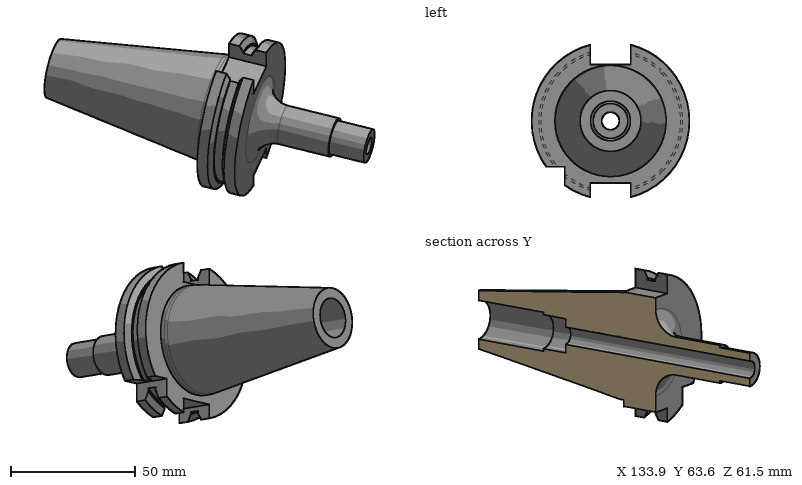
import cadquery as cq
import math


gauge_radius = 22.225
taper_length = 68.4
taper_slope = 7 / 48
small_end_radius = gauge_radius - taper_length * taper_slope

collar_start = 1.5
collar_radius = 22.4

flange_radius = 63.55 / 2
flange_start = 3.2
flange_end = 19.1
flange_width = flange_end - flange_start

groove_centre = 11.1
groove_mouth_half = 7.0 / 2
groove_floor_half = 3.75 / 2
groove_floor_radius = 56.25 / 2
groove_flank_angle = math.radians(30)
flank_depth = (groove_mouth_half - groove_floor_half) / math.tan(groove_flank_angle)
flank_foot_radius = flange_radius - flank_depth

root_fillet = 10.0
arbor_radius = 8.0
tip_radius = 7.0
tip_length = 14.7
arbor_end = 65.5
tip_start = arbor_end - tip_length

draw_bolt_radius = 8.0
draw_bolt_depth = 32.0
core_radius = 7.0
core_depth = 43.0
coolant_radius = 3.5

slot_width = 16.1
upper_slot_floor = 22.8
lower_slot_floor = 25.0
notch_wall = 18.5


def turned_body():
    """Revolve the half section of the outside around the X axis."""
    fillet_centre_x = flange_end + root_fillet
    fillet_centre_r = arbor_radius + root_fillet
    fillet_mid = (
        fillet_centre_x - root_fillet * math.cos(math.pi / 4),
        fillet_centre_r - root_fillet * math.sin(math.pi / 4),
    )
    section = (
        cq.Workplane("XY")
        .moveTo(-taper_length, 0)
        .lineTo(-taper_length, small_end_radius)
        .lineTo(0, gauge_radius)
        .lineTo(collar_start, collar_radius)
        .lineTo(flange_start, collar_radius)
        .lineTo(flange_start, flange_radius)
        .lineTo(groove_centre - groove_mouth_half, flange_radius)
        .lineTo(groove_centre - groove_floor_half, flank_foot_radius)
        .lineTo(groove_centre - groove_floor_half, groove_floor_radius)
        .lineTo(groove_centre + groove_floor_half, groove_floor_radius)
        .lineTo(groove_centre + groove_floor_half, flank_foot_radius)
        .lineTo(groove_centre + groove_mouth_half, flange_radius)
        .lineTo(flange_end, flange_radius)
        .lineTo(flange_end, fillet_centre_r)
        .threePointArc(fillet_mid, (fillet_centre_x, arbor_radius))
        .lineTo(tip_start, arbor_radius)
        .lineTo(tip_start, tip_radius)
        .lineTo(arbor_end, tip_radius)
        .lineTo(arbor_end, 0)
        .close()
    )
    return section.revolve(360, (0, 0, 0), (1, 0, 0))


def bore(radius, depth):
    """Cylinder running along +X from the small end of the taper."""
    return cq.Workplane("YZ").workplane(offset=-taper_length).circle(radius).extrude(depth)


def flange_cutter(y_min, y_max, z_min, z_max):
    """Box spanning the full flange width and the given Y and Z ranges."""
    return cq.Workplane("XY").box(
        flange_width, y_max - y_min, z_max - z_min, centered=False
    ).translate((flange_start, y_min, z_min))


result = turned_body()

for bore_radius, bore_depth in (
    (draw_bolt_radius, draw_bolt_depth),
    (core_radius, core_depth),
    (coolant_radius, taper_length + arbor_end),
):
    result = result.cut(bore(bore_radius, bore_depth))

half_slot = slot_width / 2
upper_slot = flange_cutter(-half_slot, half_slot, upper_slot_floor, flange_radius)
lower_slot = flange_cutter(-half_slot, half_slot, -flange_radius, -lower_slot_floor)
orientation_notch = flange_cutter(notch_wall, flange_radius, -flange_radius, -notch_wall)
result = result.cut(upper_slot).cut(lower_slot).cut(orientation_notch)